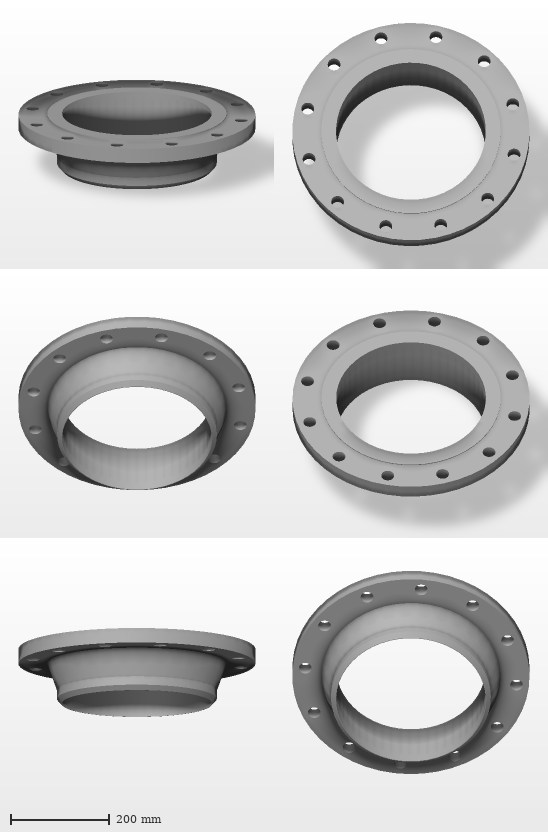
import cadquery as cq

flange_diameter = 482.5
total_height = 114.5
bore_diameter = 304.5

face_diameter = 365.0
face_height = 2.0
flange_thickness = 30.0

cone_diameter = face_diameter
collar_diameter = 325.5
collar_height = 17.5
bevel_height = 9.5
bevel_width = 9.0

hole_count = 12
hole_diameter = 26.0
bolt_circle_diameter = 432.0

flange_top = total_height - face_height
flange_bottom = flange_top - flange_thickness
collar_top = bevel_height + collar_height


def revolved_body():
    """Revolve the half section of the flange and hub about Z."""
    bore_radius = bore_diameter / 2
    face_radius = face_diameter / 2
    flange_radius = flange_diameter / 2
    cone_radius = cone_diameter / 2
    collar_radius = collar_diameter / 2

    return (
        cq.Workplane("XZ")
        .moveTo(bore_radius, 0)
        .lineTo(collar_radius - bevel_width, 0)
        .lineTo(collar_radius, bevel_height)
        .lineTo(collar_radius, collar_top)
        .lineTo(cone_radius, flange_bottom)
        .lineTo(flange_radius, flange_bottom)
        .lineTo(flange_radius, flange_top)
        .lineTo(face_radius, flange_top)
        .lineTo(face_radius, total_height)
        .lineTo(bore_radius, total_height)
        .close()
        .revolve(360, (0, 0, 0), (0, 1, 0))
    )


def bolt_holes():
    """Cylinders through the flange plate on the bolt circle."""
    first_angle = 180 / hole_count
    return (
        cq.Workplane("XY")
        .workplane(offset=flange_bottom)
        .polarArray(bolt_circle_diameter / 2, first_angle, 360, hole_count)
        .circle(hole_diameter / 2)
        .extrude(flange_thickness)
    )


result = revolved_body().cut(bolt_holes())